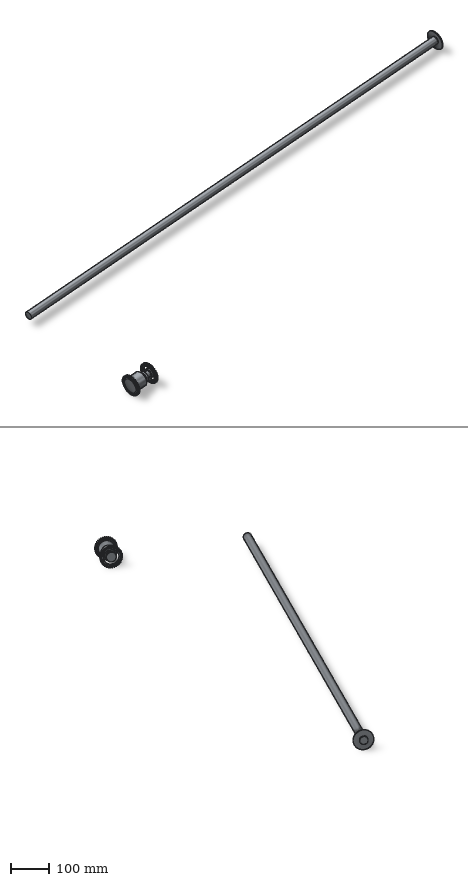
import cadquery as cq
import math

overall_length = 1505.0
overall_width = 436.0
front_y = -overall_length / 2

rod_diameter = 23.0
plate_diameter = 55.0
plate_thickness = 3.0
plate_end_gap = 5.3
rod_x = -overall_width / 2 + plate_diameter / 2
plate_y = front_y + overall_length - plate_end_gap - plate_thickness

ring_diameter = 60.0
ring_bore = 42.0
ring_thickness = 6.0
tooth_count = 36
tooth_depth = 5.3
tooth_tip_share = 0.3
assembly_x = overall_width / 2 - ring_diameter / 2

housing_diameter = 44.0
body_length = 33.0
shoulder_length = 8.0

collar_diameter = 30.0
collar_length = 6.0
stem_diameter = 18.0
stem_length = 14.3
hub_diameter = 27.0

body_y = front_y + ring_thickness
shoulder_y = body_y + body_length
collar_y = shoulder_y + shoulder_length
stem_y = collar_y + collar_length
rear_ring_y = stem_y + stem_length


def cross_plane(x, y):
    """Plane square to the Y axis, facing +Y, with local x along Z and local y along X."""
    return cq.Workplane(cq.Plane(origin=(x, y, 0), xDir=(0, 0, 1), normal=(0, 1, 0)))


def disc(x, y, diameter, length):
    return cross_plane(x, y).circle(diameter / 2).extrude(length)


def make_rod():
    return disc(rod_x, front_y, rod_diameter, overall_length)


def make_plate():
    plate = disc(rod_x, plate_y, plate_diameter, plate_thickness)
    return plate.cut(disc(rod_x, plate_y, rod_diameter, plate_thickness))


def tooth_outline():
    """Corners of the toothed rim: two at each tip, two at each root."""
    tip_radius = ring_diameter / 2
    root_radius = tip_radius - tooth_depth
    pitch = 2 * math.pi / tooth_count
    half_flat = tooth_tip_share * pitch / 2
    points = []
    for tooth in range(tooth_count):
        tip_angle = (tooth + 0.5) * pitch
        root_angle = tip_angle + pitch / 2
        for centre, radius in ((tip_angle, tip_radius), (root_angle, root_radius)):
            for angle in (centre - half_flat, centre + half_flat):
                points.append((radius * math.cos(angle), radius * math.sin(angle)))
    return points


def make_toothed_ring(y):
    ring = cross_plane(assembly_x, y).polyline(tooth_outline()).close().extrude(ring_thickness)
    return ring.cut(disc(assembly_x, y, ring_bore, ring_thickness))


def make_housing():
    boss = disc(assembly_x, front_y, ring_bore, ring_thickness)
    body = disc(assembly_x, body_y, housing_diameter, body_length)
    shoulder = (
        cross_plane(assembly_x, shoulder_y)
        .circle(housing_diameter / 2)
        .workplane(offset=shoulder_length)
        .circle(collar_diameter / 2)
        .loft(ruled=True)
    )
    return boss.union(body).union(shoulder)


def make_collar():
    return disc(assembly_x, collar_y, collar_diameter, collar_length)


def make_stem():
    stem = disc(assembly_x, stem_y, stem_diameter, stem_length)
    hub = disc(assembly_x, rear_ring_y, hub_diameter, ring_thickness)
    return stem.union(hub)


rod = make_rod()
plate = make_plate()
housing = make_housing()
collar = make_collar()
stem = make_stem()
toothed_rings = [make_toothed_ring(y) for y in (front_y, rear_ring_y)]

result = cq.Compound.makeCompound(
    [
        rod.val(),
        plate.val(),
        housing.val(),
        collar.val(),
        stem.val(),
        *[ring.val() for ring in toothed_rings],
    ]
)